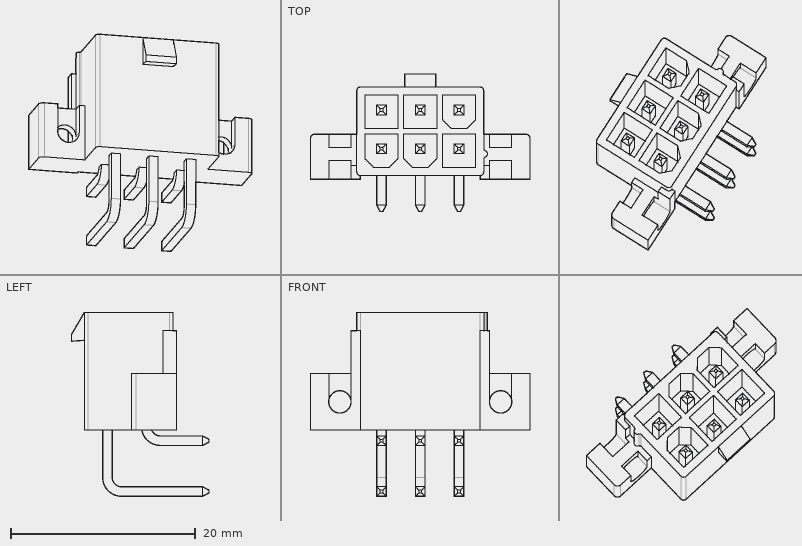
import cadquery as cq
import math


housing_width = 13.75
housing_depth = 9.6
housing_height = 12.75
housing_corner_radius = 0.4

pitch = 4.2
columns = (-1, 0, 1)
back_row_y = pitch / 2
front_row_y = -pitch / 2

cavity_size = 3.6
cavity_floor_z = 3.0
cavity_chamfer = 0.95
keyed_cavities = ((1, back_row_y), (-1, front_row_y), (0, front_row_y))

pin_size = 1.05
pin_offset_y = 0.2
pin_top_z = 10.0
pin_tip_length = 0.7
pin_tip_size = 0.3
pin_inner_bend_radius = 1.0
pin_end_y = -8.7
back_pin_bottom_z = -7.18
pin_row_spacing_z = 5.5
front_pin_bottom_z = back_pin_bottom_z + pin_row_spacing_z

ear_span = 23.8
ear_height = 6.13
ear_back_y = -0.3
ear_front_y = -5.2
ear_corner_radius = 0.5
ear_hole_diameter = 2.4
ear_hole_x = 8.7
ear_hole_z = 3.05
web_thickness = 1.42
back_slot_depth = 1.45
web_back_y = ear_back_y - back_slot_depth
web_front_y = web_back_y - web_thickness

post_inner_x = housing_width / 2 - housing_corner_radius
post_outer_x = ear_hole_x - ear_hole_diameter / 2
post_thickness = 1.5
post_top_drop = 2.0
post_height = housing_height - post_top_drop

latch_width = 3.4
latch_reach = 1.4
latch_ramp_drop = 2.4
latch_tip_drop = 3.15
latch_root_drop = 3.05

rib_y = -2.45
rib_reach = 0.4
rib_radius = 0.37
rib_root_radius = 0.2


def block(x_min, x_max, y_min, y_max, z_min, z_max):
    size = (x_max - x_min, y_max - y_min, z_max - z_min)
    return cq.Workplane("XY").box(*size, centered=False).translate((x_min, y_min, z_min))


def mirrored_pair(shape):
    return shape.union(shape.mirror("YZ"))


def make_housing():
    shell = cq.Workplane("XY").box(housing_width, housing_depth, housing_height, centered=(True, True, False))
    return shell.edges("|Z").fillet(housing_corner_radius)


def make_cavity(column, row_y):
    cavity = (
        cq.Workplane("XY", origin=(column * pitch, row_y, cavity_floor_z))
        .rect(cavity_size, cavity_size)
        .extrude(housing_height - cavity_floor_z)
    )
    if (column, row_y) in keyed_cavities:
        cavity = cavity.faces("<Y").edges("|Z").chamfer(cavity_chamfer)
    return cavity


def make_latch():
    back_y = housing_depth / 2
    return (
        cq.Workplane("YZ", origin=(-latch_width / 2, 0, 0))
        .moveTo(back_y, housing_height)
        .lineTo(back_y + latch_reach, housing_height - latch_ramp_drop)
        .lineTo(back_y + latch_reach, housing_height - latch_tip_drop)
        .lineTo(back_y, housing_height - latch_root_drop)
        .close()
        .extrude(latch_width)
    )


def add_rib(housing):
    """Full-height half-round rib, blended into the housing wall along both roots."""
    face_x = housing_width / 2
    crest_centre_x = face_x + rib_reach - rib_radius
    rib = cq.Workplane("XY").center(crest_centre_x, rib_y).circle(rib_radius).extrude(housing_height)
    root_zone = cq.selectors.BoxSelector(
        (face_x - rib_root_radius, rib_y - 2 * rib_radius, 0),
        (face_x + rib_root_radius, rib_y + 2 * rib_radius, housing_height),
    )
    return housing.union(rib).edges("|Z").edges(root_zone).fillet(rib_root_radius)


def make_ear_slot(y_min, y_max):
    """Round-bottomed slot, open at the top of the ear."""
    radius = ear_hole_diameter / 2
    left_x = ear_hole_x - radius
    right_x = ear_hole_x + radius
    return (
        cq.Workplane("XZ", origin=(0, y_max, 0))
        .moveTo(left_x, ear_height)
        .lineTo(left_x, ear_hole_z)
        .threePointArc((ear_hole_x, ear_hole_z - radius), (right_x, ear_hole_z))
        .lineTo(right_x, ear_height)
        .close()
        .extrude(y_max - y_min)
    )


def make_ear():
    """Mounting ear on the +X side, with the post that joins it to the housing corner."""
    ear = block(post_inner_x, ear_span / 2, ear_front_y, ear_back_y, 0, ear_height)
    ear = ear.edges("|Z and >X and >Y").fillet(ear_corner_radius)
    post = block(post_inner_x, post_outer_x, ear_front_y, ear_front_y + post_thickness, 0, post_height)
    ear = ear.union(post)
    ear = ear.cut(make_ear_slot(web_back_y, ear_back_y))
    ear = ear.cut(make_ear_slot(ear_front_y, web_front_y))
    hole = (
        cq.Workplane("XZ", origin=(ear_hole_x, ear_back_y, ear_hole_z))
        .circle(ear_hole_diameter / 2)
        .extrude(ear_back_y - ear_front_y)
    )
    return ear.cut(hole)


def make_pin_tip(plane):
    """Truncated pyramid that tapers along the normal of the given plane."""
    return (
        cq.Workplane(plane)
        .rect(pin_size, pin_size)
        .workplane(offset=pin_tip_length)
        .rect(pin_tip_size, pin_tip_size)
        .loft(ruled=True)
    )


def make_pin(x, row_y, bottom_z):
    """Square pin that stands in the cavity and bends forward below the housing."""
    y = row_y + pin_offset_y
    tail_z = bottom_z + pin_size / 2
    bend_radius = pin_inner_bend_radius + pin_size / 2
    shoulder_z = pin_top_z - pin_tip_length
    tail_shoulder_y = pin_end_y + pin_tip_length
    bend_centre_y = y - bend_radius
    bend_centre_z = tail_z + bend_radius
    bend_half_way = bend_radius * math.sin(math.radians(45))
    path = (
        cq.Workplane("YZ", origin=(x, 0, 0))
        .moveTo(y, shoulder_z)
        .lineTo(y, bend_centre_z)
        .threePointArc(
            (bend_centre_y + bend_half_way, bend_centre_z - bend_half_way),
            (bend_centre_y, tail_z),
        )
        .lineTo(tail_shoulder_y, tail_z)
    )
    shaft = cq.Workplane("XY", origin=(x, y, shoulder_z)).rect(pin_size, pin_size).sweep(path)
    top_tip = make_pin_tip(cq.Plane((x, y, shoulder_z), (1, 0, 0), (0, 0, 1)))
    tail_tip = make_pin_tip(cq.Plane((x, tail_shoulder_y, tail_z), (1, 0, 0), (0, -1, 0)))
    return shaft.union(top_tip).union(tail_tip)


result = add_rib(make_housing()).union(mirrored_pair(make_ear())).union(make_latch())

for column in columns:
    for row_y in (back_row_y, front_row_y):
        result = result.cut(make_cavity(column, row_y))

for column in columns:
    result = result.union(make_pin(column * pitch, back_row_y, back_pin_bottom_z))
    result = result.union(make_pin(column * pitch, front_row_y, front_pin_bottom_z))